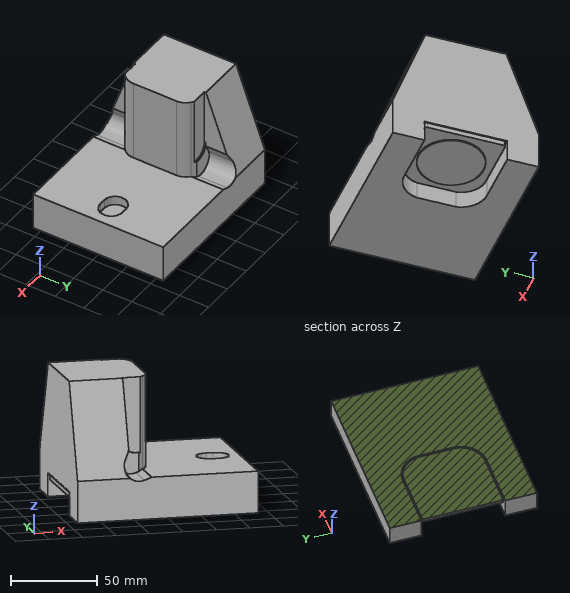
import cadquery as cq
import math

length = 108.0
width = 90.0
height = 80.0
base_height = 25.0
block_length = 48.0
block_top_width = 50.0

nose_bevel_start = 41.6
nose_bevel_angle = math.radians(40)
nose_radius = 10.0

shoulder_x = 32.0
side_cut_half_width = 24.0
side_cut_floor = 35.1
side_cut_radius = 8.0

groove_x = 37.0
groove_z = 31.4
groove_radius = 8.5
groove_tilt = math.radians(20)
groove_exit_x = 44.3
groove_top = 40.2

slot_x = 92.0
slot_length = 19.0
slot_width = 15.0
slot_depth = 6.0

pocket_width = 51.0
pocket_height = 14.0
pocket_end_x = 50.0
pocket_corner_radius = 31.6 / 2
pocket_flat_width = 24.1
island_clearance = 0.6
island_bottom = 10.7
island_corner_radius = 2.5 / 2
boss_x = pocket_end_x / 2
boss_diameter = 40.0
boss_bottom = 9.9

half_width = width / 2
half_top = block_top_width / 2


def make_body():
    """Base plate with a block whose sides taper towards the top."""
    base = cq.Workplane("XY").box(length, width, base_height, centered=(False, True, False))
    block = (
        cq.Workplane("YZ")
        .moveTo(-half_width, base_height)
        .lineTo(half_width, base_height)
        .lineTo(half_top, height)
        .lineTo(-half_top, height)
        .close()
        .extrude(block_length)
    )
    return base.union(block)


def make_nose():
    """Full-height column that stays standing between the two shoulders."""
    front_y = half_top - (block_length - nose_bevel_start) * math.tan(nose_bevel_angle)
    half_nose = (
        cq.Workplane("XY")
        .moveTo(0, half_top)
        .lineTo(nose_bevel_start, half_top)
        .lineTo(block_length, front_y)
        .lineTo(block_length, 0)
        .lineTo(0, 0)
        .close()
        .extrude(height)
        .edges(cq.selectors.NearestToPointSelector((block_length, front_y, height / 2)))
        .fillet(nose_radius)
    )
    return half_nose.union(half_nose.mirror("XZ"))


def make_shoulder_cut():
    """Space above the base beside the nose, with the relief groove at its foot."""
    sine = math.sin(groove_tilt)
    cosine = math.cos(groove_tilt)
    diagonal = groove_radius / math.sqrt(2)
    profile = (
        cq.Workplane("XZ", origin=(0, half_width, 0))
        .moveTo(shoulder_x, height)
        .lineTo(shoulder_x, groove_top)
        .lineTo(groove_x - groove_radius * cosine, groove_z + groove_radius * sine)
        .threePointArc(
            (groove_x - diagonal, groove_z - diagonal),
            (groove_x + groove_radius * sine, groove_z - groove_radius * cosine),
        )
        .lineTo(groove_exit_x, base_height)
        .lineTo(block_length, base_height)
        .lineTo(block_length, height)
        .close()
        .extrude(width)
    )
    return profile.cut(make_nose())


def make_side_cut(side):
    """Deeper flat on one side of the nose, ending in a rounded foot."""
    cut_width = half_width - side_cut_half_width
    cut_middle = side * (side_cut_half_width + cut_width / 2)
    return (
        cq.Workplane("XY", origin=(shoulder_x, cut_middle, side_cut_floor))
        .box(block_length - shoulder_x, cut_width, height - side_cut_floor, centered=(False, True, False))
        .edges("|Y and <X and <Z")
        .fillet(side_cut_radius)
    )


def make_slot():
    return (
        cq.Workplane("XY", origin=(slot_x, 0, base_height))
        .slot2D(slot_length, slot_width)
        .extrude(-slot_depth)
    )


def make_pocket_shape(inset, bottom):
    """Prism up to the pocket ceiling, set in from the pocket outline, with two rounded end corners."""
    depth = pocket_height - bottom
    radius = pocket_corner_radius - inset
    corner_y = pocket_width / 2 - pocket_corner_radius
    corner_reach = math.sqrt(pocket_corner_radius**2 - (pocket_flat_width / 2 - corner_y) ** 2)
    corner_x = pocket_end_x - corner_reach
    floor = cq.Workplane("XY", origin=(inset, 0, bottom))
    straight = floor.box(corner_x - inset, pocket_width - 2 * inset, depth, centered=(False, True, False))
    limit = floor.box(pocket_end_x - 2 * inset, pocket_width, depth, centered=(False, True, False))
    middle = floor.box(pocket_end_x - 2 * inset, 2 * corner_y, depth, centered=(False, True, False))
    corners = (
        cq.Workplane("XY", origin=(corner_x, 0, bottom))
        .pushPoints([(0, -corner_y), (0, corner_y)])
        .circle(radius)
        .extrude(depth)
    )
    return straight.union(middle).union(corners).intersect(limit)


def make_pocket():
    pocket = make_pocket_shape(0, 0)
    island = make_pocket_shape(island_clearance, island_bottom)
    island = island.edges("|Z and <X").fillet(island_corner_radius)
    boss = (
        cq.Workplane("XY", origin=(boss_x, 0, boss_bottom))
        .circle(boss_diameter / 2)
        .extrude(pocket_height - boss_bottom)
    )
    return pocket.cut(island).cut(boss)


result = make_body().cut(make_shoulder_cut())
for side in (-1, 1):
    result = result.cut(make_side_cut(side))
result = result.cut(make_slot()).cut(make_pocket())